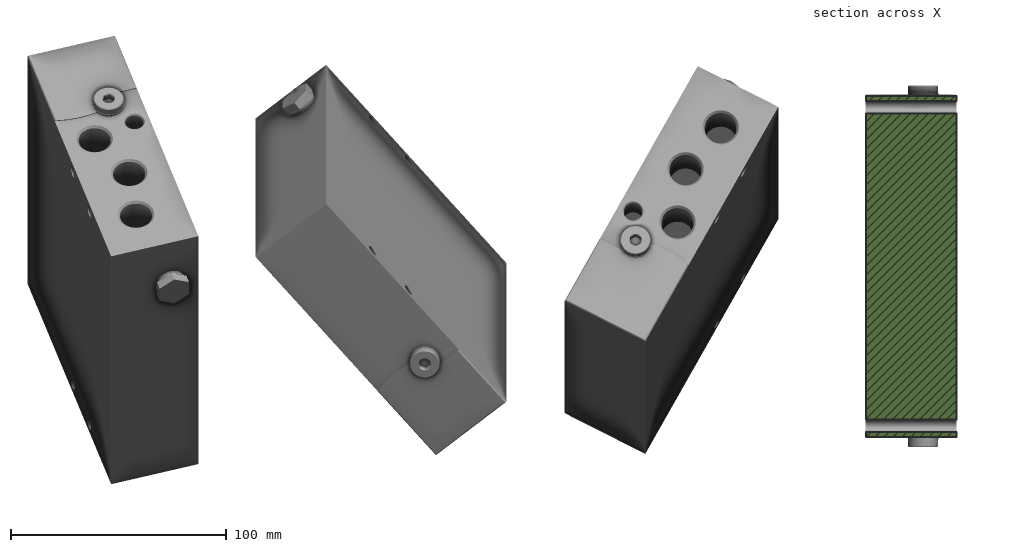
import cadquery as cq
import math

OVERALL_HEIGHT = 167.7
OVERALL_LENGTH = 137.3
BLOCK_LENGTH = 130.8
BLOCK_WIDTH = 42.5
BLOCK_HEIGHT = 158.3
BLOCK_HALF = BLOCK_HEIGHT / 2

PAD_HEIGHT = 0.5
PAD_CHAMFER = 0.49
PAD_BACK_LENGTH = 34.4
PAD_BULGE_LENGTH = 44.1
PAD_BULGE_RADIUS = 47.0
PAD_BULGE_Y = 11.9

PLUG_X = 40.4
PLUG_Y = 26.8
PLUG_DIAMETER = 14.0
PLUG_HEIGHT = OVERALL_HEIGHT / 2 - BLOCK_HALF
PLUG_CHAMFER = 0.3
PLUG_BASE_DIAMETER = 14.3
PLUG_BASE_HEIGHT = 1.2
SOCKET_FLATS = 5.0
SOCKET_RIM_DIAMETER = 6.0
SOCKET_DEPTH = 3.4

PORT_DIAMETER = 15.0
PORT_RIM_DIAMETER = 17.0
PORT_DEPTH = 20.1
PORT_CENTRES = [(58.5, 14.5), (83.3, 23.5), (109.2, 18.8)]
SMALL_PORT_DIAMETER = 8.5
SMALL_PORT_RIM_DIAMETER = 9.7
SMALL_PORT_DEPTH = 13.4
SMALL_PORT_CENTRE = (53.7, 35.2)

MOUNT_DIAMETER = 5.5
MOUNT_X = [70.8, 96.8]
MOUNT_EDGE_DISTANCE = 5.2

FITTING_Y = 28.7
FITTING_Z = BLOCK_HALF - 26.8
COLLAR_DIAMETER = 14.0
COLLAR_LENGTH = 1.8
WASHER_DIAMETER = 15.0
WASHER_LENGTH = 0.5
HEX_FLATS = 14.3
HEX_LENGTH = OVERALL_LENGTH - BLOCK_LENGTH - COLLAR_LENGTH - WASHER_LENGTH

HEXAGON_TURN = 30


def hexagon_corner_diameter(flats):
    """Distance across the corners of a hexagon, from its distance across the flats."""
    return flats / math.cos(math.pi / 6)


def make_pad():
    """Pad on the top face: bulged edge in front of the plug, straight edge behind it."""
    bulge_centre_x = PAD_BULGE_LENGTH - PAD_BULGE_RADIUS

    def bulge_x(y):
        return bulge_centre_x + math.sqrt(PAD_BULGE_RADIUS**2 - (y - PAD_BULGE_Y) ** 2)

    pad = (
        cq.Workplane("XY", origin=(0, 0, BLOCK_HALF))
        .lineTo(bulge_x(0), 0)
        .threePointArc((PAD_BULGE_LENGTH, PAD_BULGE_Y), (bulge_x(PLUG_Y), PLUG_Y))
        .lineTo(PAD_BACK_LENGTH, PLUG_Y)
        .lineTo(PAD_BACK_LENGTH, BLOCK_WIDTH)
        .lineTo(0, BLOCK_WIDTH)
        .close()
        .extrude(PAD_HEIGHT)
    )
    pad = pad.faces("<X or <Y or >Y").edges(">Z").chamfer(PAD_CHAMFER)
    plug_recess = (
        cq.Workplane("XY", origin=(PLUG_X, PLUG_Y, BLOCK_HALF))
        .circle(PLUG_BASE_DIAMETER / 2)
        .extrude(PAD_HEIGHT)
    )
    return pad.cut(plug_recess)


def make_port(centre, diameter, rim_diameter, depth):
    """Cutter for a blind flat-bottomed port with a 45 degree chamfer at its mouth."""
    rim_chamfer = (rim_diameter - diameter) / 2
    return (
        cq.Workplane("XZ")
        .lineTo(rim_diameter / 2, 0)
        .lineTo(diameter / 2, -rim_chamfer)
        .lineTo(diameter / 2, -depth)
        .lineTo(0, -depth)
        .close()
        .revolve(360, (0, 0), (0, 1))
        .translate((*centre, BLOCK_HALF))
    )


def make_housing():
    housing = cq.Workplane("XY").box(
        BLOCK_LENGTH, BLOCK_WIDTH, BLOCK_HEIGHT, centered=(False, False, True)
    )
    top_pad = make_pad()
    housing = housing.union(top_pad).union(top_pad.mirror("XY"))

    for centre in PORT_CENTRES:
        housing = housing.cut(make_port(centre, PORT_DIAMETER, PORT_RIM_DIAMETER, PORT_DEPTH))
    housing = housing.cut(
        make_port(SMALL_PORT_CENTRE, SMALL_PORT_DIAMETER, SMALL_PORT_RIM_DIAMETER, SMALL_PORT_DEPTH)
    )

    mount_z = BLOCK_HALF - MOUNT_EDGE_DISTANCE
    mount_holes = (
        cq.Workplane("XZ")
        .pushPoints([(x, z) for x in MOUNT_X for z in (mount_z, -mount_z)])
        .circle(MOUNT_DIAMETER / 2)
        .extrude(-BLOCK_WIDTH)
    )
    return housing.cut(mount_holes)


def make_screw_plug():
    """Screw plug on the top face: thin wider base, round head and countersunk hexagon socket."""
    plug = (
        cq.Workplane("XY")
        .circle(PLUG_BASE_DIAMETER / 2)
        .extrude(PLUG_BASE_HEIGHT)
        .faces(">Z")
        .workplane()
        .circle(PLUG_DIAMETER / 2)
        .extrude(PLUG_HEIGHT - PLUG_BASE_HEIGHT)
        .faces(">Z")
        .edges()
        .chamfer(PLUG_CHAMFER)
    )
    socket = (
        cq.Workplane("XY", origin=(0, 0, PLUG_HEIGHT))
        .transformed(rotate=(0, 0, HEXAGON_TURN))
        .polygon(6, hexagon_corner_diameter(SOCKET_FLATS))
        .extrude(-SOCKET_DEPTH)
    )
    rim_radius = SOCKET_RIM_DIAMETER / 2
    countersink = cq.Workplane(
        cq.Solid.makeCone(0, rim_radius, rim_radius, pnt=cq.Vector(0, 0, PLUG_HEIGHT - rim_radius))
    )
    return plug.cut(socket).cut(countersink).translate((PLUG_X, PLUG_Y, BLOCK_HALF))


def make_fitting():
    """Hexagon fitting: round collar against the housing, thin washer face, hexagon head."""
    return (
        cq.Workplane("YZ", origin=(BLOCK_LENGTH, FITTING_Y, FITTING_Z))
        .circle(COLLAR_DIAMETER / 2)
        .extrude(COLLAR_LENGTH)
        .faces(">X")
        .workplane()
        .circle(WASHER_DIAMETER / 2)
        .extrude(WASHER_LENGTH)
        .faces(">X")
        .workplane()
        .transformed(rotate=(0, 0, HEXAGON_TURN))
        .polygon(6, hexagon_corner_diameter(HEX_FLATS))
        .extrude(HEX_LENGTH)
    )


housing = make_housing()
top_plug = make_screw_plug()
screw_plugs = [top_plug, top_plug.mirror("XY")]
fitting = make_fitting()

result = cq.Compound.makeCompound(
    [housing.val(), *[plug.val() for plug in screw_plugs], fitting.val()]
)